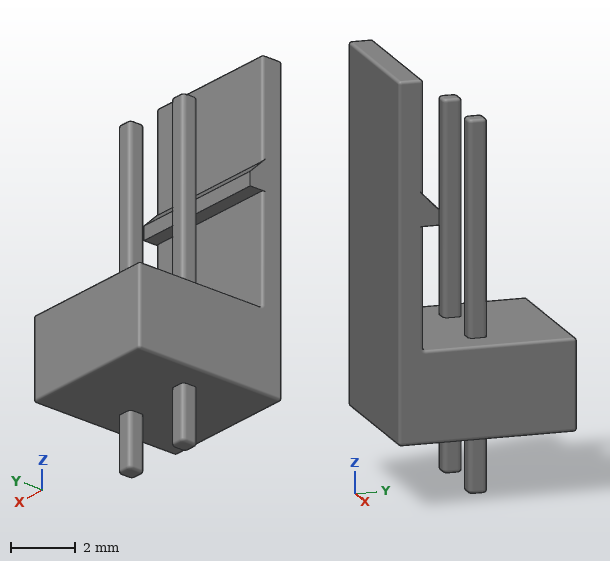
import cadquery as cq

width = 5.08
depth = 5.8
height = 13.7

base_height = 3.0
wall_thickness = 0.8
tail_length = 2.0
edge_radius = 0.1

ledge_bottom = 7.0
ledge_reach = 0.51
ledge_lip_height = 0.51

pin_count = 2
pin_pitch = width / pin_count
pin_side = 0.6
pin_edge_radius = 0.15
pin_end_radius = 0.1
pin_top_drop = 1.7

wall_height = height - tail_length
wall_inner_y = -depth / 2 + wall_thickness


def extrude_across_width(points):
    """Extrude a closed Y-Z outline over the full width, centred on X = 0."""
    return cq.Workplane("YZ").polyline(points).close().extrude(width / 2, both=True)


def make_housing():
    """L-shaped housing with every edge rounded, the inner corner included."""
    front = -depth / 2
    back = depth / 2
    outline = [
        (front, 0),
        (back, 0),
        (back, base_height),
        (wall_inner_y, base_height),
        (wall_inner_y, wall_height),
        (front, wall_height),
    ]
    return extrude_across_width(outline).edges().fillet(edge_radius)


def make_ledge():
    """Full-width ledge: flat below, a vertical lip, and a 45 degree slope above.

    Its root is sunk into the wall past the rounded wall edges.
    """
    root_y = wall_inner_y - edge_radius
    tip_y = wall_inner_y + ledge_reach
    lip_top = ledge_bottom + ledge_lip_height
    slope_top = lip_top + (tip_y - root_y)
    outline = [
        (root_y, ledge_bottom),
        (tip_y, ledge_bottom),
        (tip_y, lip_top),
        (root_y, slope_top),
    ]
    return extrude_across_width(outline)


def make_pin(x):
    """Square pin through the base, rounded along its sides and at both ends."""
    pin_length = height - pin_top_drop
    return (
        cq.Workplane("XY", origin=(x, 0, -tail_length))
        .rect(pin_side, pin_side)
        .extrude(pin_length)
        .edges("|Z").fillet(pin_edge_radius)
        .faces("<Z or >Z").edges().fillet(pin_end_radius)
    )


result = make_housing().union(make_ledge())
for index in range(pin_count):
    pin_x = (index - (pin_count - 1) / 2) * pin_pitch
    result = result.union(make_pin(pin_x))